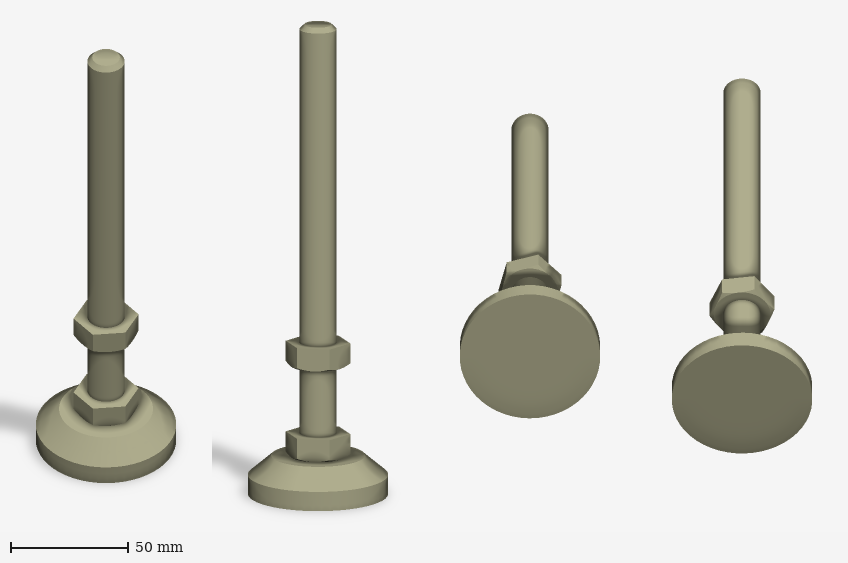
import cadquery as cq
import math

total_height = 207.0

foot_diameter = 60.0
foot_top_diameter = 40.2
foot_rim_height = 8.5
foot_height = 17.0

stud_diameter = 16.0
stud_tip_chamfer = 2.0

hex_across_flats = 24.2
hex_height = 10.0
hex_chamfer_angle = 30.0
hex_across_corners = hex_across_flats / math.cos(math.pi / 6)

nut_bottom = 57.0


def make_hexagon(bottom):
    """Hexagonal prism, corners along X, with its lower corners cut by a cone."""
    prism = cq.Workplane("XY").workplane(offset=bottom).polygon(6, hex_across_corners).extrude(hex_height)
    face_radius = hex_across_flats / 2
    corner_radius = hex_across_corners / 2
    chamfer_height = (corner_radius - face_radius) * math.tan(math.radians(hex_chamfer_angle))
    top = bottom + hex_height
    envelope = (
        cq.Workplane("XZ")
        .moveTo(0, bottom)
        .lineTo(face_radius, bottom)
        .lineTo(corner_radius, bottom + chamfer_height)
        .lineTo(corner_radius, top)
        .lineTo(0, top)
        .close()
        .revolve(360, (0, 0), (0, 1))
    )
    return prism.intersect(envelope)


def make_foot():
    """Round foot with a straight rim and a conical shoulder."""
    return (
        cq.Workplane("XZ")
        .lineTo(foot_diameter / 2, 0)
        .lineTo(foot_diameter / 2, foot_rim_height)
        .lineTo(foot_top_diameter / 2, foot_height)
        .lineTo(0, foot_height)
        .close()
        .revolve(360, (0, 0), (0, 1))
    )


def make_stud():
    """Stud with an integral hexagon standing on the foot."""
    shank = (
        cq.Workplane("XY")
        .workplane(offset=foot_height)
        .circle(stud_diameter / 2)
        .extrude(total_height - foot_height)
        .faces(">Z")
        .chamfer(stud_tip_chamfer)
    )
    return shank.union(make_hexagon(foot_height))


def make_lock_nut():
    """Lock nut whose bore matches the stud."""
    bore = cq.Workplane("XY").workplane(offset=nut_bottom).circle(stud_diameter / 2).extrude(hex_height)
    return make_hexagon(nut_bottom).cut(bore)


foot = make_foot()
stud = make_stud()
lock_nut = make_lock_nut()

result = cq.Compound.makeCompound([foot.val(), stud.val(), lock_nut.val()])